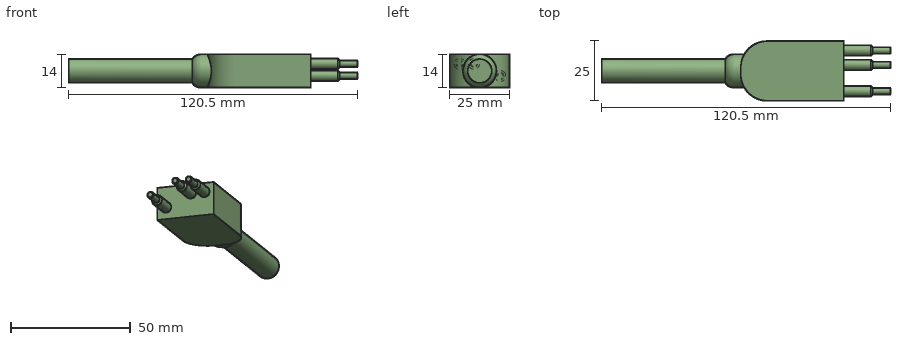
import cadquery as cq
import math

total_length = 120.5

body_width = 25.0
body_height = 14.0
body_start = 58.0
body_end = 101.0
body_corner_radius = 11.0

cable_diameter = 10.0
collar_diameter = body_height
collar_shoulder = 55.0
collar_round_radius = 4.0
collar_overlap = 5.0

pin_diameter = 4.5
tip_diameter = 2.8
pin_shoulder = 113.0
pin_shoulder_chamfer = 0.8
tip_chamfer = 0.3
outer_pin_y = 8.5
inner_pin_y = 2.5
upper_pin_z = 3.0
lower_pin_z = -2.0
pin_positions = [
    (outer_pin_y, upper_pin_z),
    (inner_pin_y, upper_pin_z),
    (-outer_pin_y, lower_pin_z),
]


def make_body():
    """Flat block whose two cable-side corners are rounded."""
    length = body_end - body_start
    block = cq.Workplane("XY").box(length, body_width, body_height, centered=(False, True, True))
    return block.edges("|Z and <X").fillet(body_corner_radius).translate((body_start, 0, 0))


def make_cable_and_collar():
    """Cable and collar revolved together; a round leads from one to the other."""
    cable_radius = cable_diameter / 2
    collar_radius = collar_diameter / 2
    round_center_r = collar_radius - collar_round_radius
    start_angle = math.asin((cable_radius - round_center_r) / collar_round_radius)
    middle_angle = (start_angle + math.pi / 2) / 2

    def round_point(angle):
        x = collar_shoulder - collar_round_radius * math.cos(angle)
        r = round_center_r + collar_round_radius * math.sin(angle)
        return (x, r)

    buried_end = body_start + collar_overlap
    profile = (
        cq.Workplane("XY")
        .moveTo(0, 0)
        .lineTo(0, cable_radius)
        .lineTo(*round_point(start_angle))
        .threePointArc(round_point(middle_angle), (collar_shoulder, collar_radius))
        .lineTo(buried_end, collar_radius)
        .lineTo(buried_end, 0)
        .close()
    )
    return profile.revolve(360, (0, 0, 0), (1, 0, 0))


def make_pin(y, z):
    """Stepped pin with a chamfered shoulder and a chamfered tip."""
    base = (
        cq.Workplane("YZ")
        .circle(pin_diameter / 2)
        .extrude(pin_shoulder - body_end)
        .faces(">X")
        .chamfer(pin_shoulder_chamfer)
    )
    tip = (
        cq.Workplane("YZ")
        .circle(tip_diameter / 2)
        .extrude(total_length - body_end)
        .faces(">X")
        .chamfer(tip_chamfer)
    )
    return base.union(tip).translate((body_end, y, z))


result = make_body().union(make_cable_and_collar())
for pin_y, pin_z in pin_positions:
    result = result.union(make_pin(pin_y, pin_z))